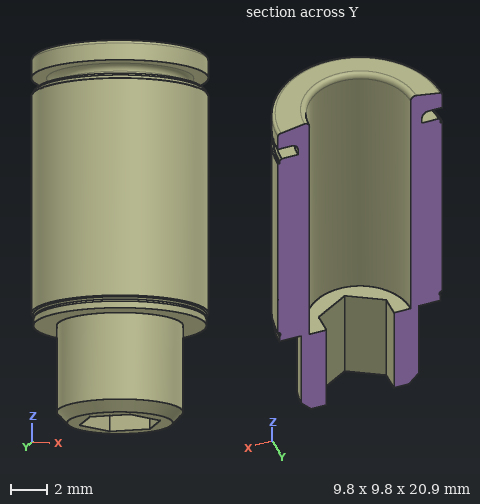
import cadquery as cq
import math

body_diameter = 9.8
collar_diameter = 9.6
groove_diameter = 9.45
neck_diameter = 7.4
spigot_diameter = 7.0
spigot_tip_diameter = 5.85
bore_diameter = 6.0
hex_across_flats = 4.01

total_height = 20.9
tip_chamfer_height = 0.6
shoulder_z = 5.5
groove_bottom_z = 5.87
groove_top_z = 6.12
groove_middle_z = (groove_bottom_z + groove_top_z) / 2
body_bottom_z = 6.19
body_top_z = 18.48
collar_top_z = 18.79
cap_bottom_z = 19.5
cap_edge_z = 20.65

collar_chamfer = 0.13
neck_fillet = 0.38
cap_edge_radius = 0.19
mouth_radius = 0.31

body_radius = body_diameter / 2
collar_radius = collar_diameter / 2
groove_radius = groove_diameter / 2
neck_radius = neck_diameter / 2
spigot_radius = spigot_diameter / 2
bore_radius = bore_diameter / 2
cap_face_radius = body_radius - cap_edge_radius
mouth_outer_radius = bore_radius + mouth_radius
diagonal = math.sqrt(0.5)


def make_turned_body():
    """Revolve the outer outline, with a solid core, about Z."""
    neck_arc_middle = (
        neck_radius + neck_fillet * (1 - diagonal),
        cap_bottom_z - neck_fillet * (1 - diagonal),
    )
    cap_arc_middle = (
        cap_face_radius + cap_edge_radius * diagonal,
        cap_edge_z - cap_edge_radius * (1 - diagonal),
    )
    outline = (
        cq.Workplane("XZ")
        .moveTo(0, 0)
        .lineTo(spigot_tip_diameter / 2, 0)
        .lineTo(spigot_radius, tip_chamfer_height)
        .lineTo(spigot_radius, shoulder_z)
        .lineTo(collar_radius, shoulder_z)
        .lineTo(collar_radius, groove_bottom_z)
        .lineTo(groove_radius, groove_middle_z)
        .lineTo(collar_radius, groove_top_z)
        .lineTo(body_radius, body_bottom_z)
        .lineTo(body_radius, body_top_z)
        .lineTo(collar_radius, body_top_z)
        .lineTo(collar_radius, collar_top_z - collar_chamfer)
        .lineTo(collar_radius - collar_chamfer, collar_top_z)
        .lineTo(neck_radius, collar_top_z)
        .lineTo(neck_radius, cap_bottom_z - neck_fillet)
        .threePointArc(neck_arc_middle, (neck_radius + neck_fillet, cap_bottom_z))
        .lineTo(body_radius, cap_bottom_z)
        .lineTo(body_radius, cap_edge_z - cap_edge_radius)
        .threePointArc(cap_arc_middle, (cap_face_radius, cap_edge_z))
        .lineTo(mouth_outer_radius, total_height)
        .lineTo(0, total_height)
        .close()
    )
    return outline.revolve(360, (0, 0, 0), (0, 1, 0))


def make_bore():
    """Round bore down to the shoulder, with a rounded mouth."""
    mouth_arc_middle = (
        bore_radius + mouth_radius * (1 - diagonal),
        total_height - mouth_radius * (1 - diagonal),
    )
    return (
        cq.Workplane("XZ")
        .moveTo(0, shoulder_z)
        .lineTo(bore_radius, shoulder_z)
        .lineTo(bore_radius, total_height - mouth_radius)
        .threePointArc(mouth_arc_middle, (mouth_outer_radius, total_height))
        .lineTo(0, total_height)
        .close()
        .revolve(360, (0, 0, 0), (0, 1, 0))
    )


def make_hex_hole():
    """Hexagonal hole through the spigot, with corners on the Y axis."""
    across_corners = hex_across_flats / math.cos(math.pi / 6)
    return (
        cq.Workplane("XY")
        .transformed(rotate=(0, 0, 90))
        .polygon(6, across_corners)
        .extrude(total_height)
    )


result = make_turned_body().cut(make_bore()).cut(make_hex_hole())